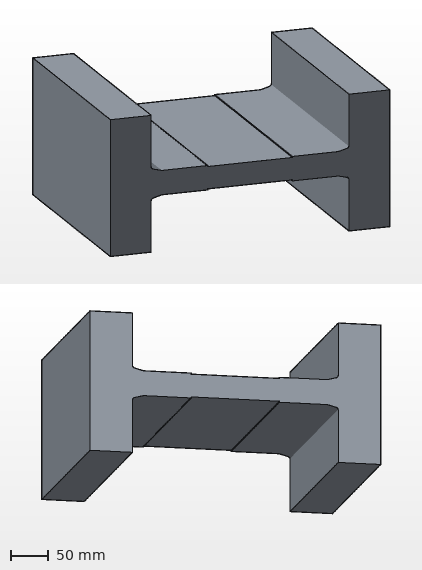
import cadquery as cq

length = 300.0
width = 395.0
height = 190.0

flange_thickness = 57.5

middle_band_width = 119.5
middle_band_thickness = 31.2
outer_band_thickness = 34.0

ramp_width = 15.0
ramp_rise = 4.0
root_radius = 4.0

flange_inner_y = width / 2 - flange_thickness
ramp_foot_y = flange_inner_y - ramp_width
ramp_top_z = outer_band_thickness / 2 + ramp_rise

quarter_profile = [
    (0, 0),
    (0, middle_band_thickness / 2),
    (middle_band_width / 2, middle_band_thickness / 2),
    (middle_band_width / 2, outer_band_thickness / 2),
    (ramp_foot_y, outer_band_thickness / 2),
    (flange_inner_y, ramp_top_z),
    (flange_inner_y, height / 2),
    (width / 2, height / 2),
    (width / 2, 0),
]
quarter = cq.Workplane("YZ").polyline(quarter_profile).close().extrude(length / 2, both=True)

root_corner = cq.selectors.NearestToPointSelector((0, flange_inner_y, ramp_top_z))
quarter = quarter.edges("|X").edges(root_corner).fillet(root_radius)

upper_half = quarter.union(quarter.mirror("XZ"))
result = upper_half.union(upper_half.mirror("XY")).clean()